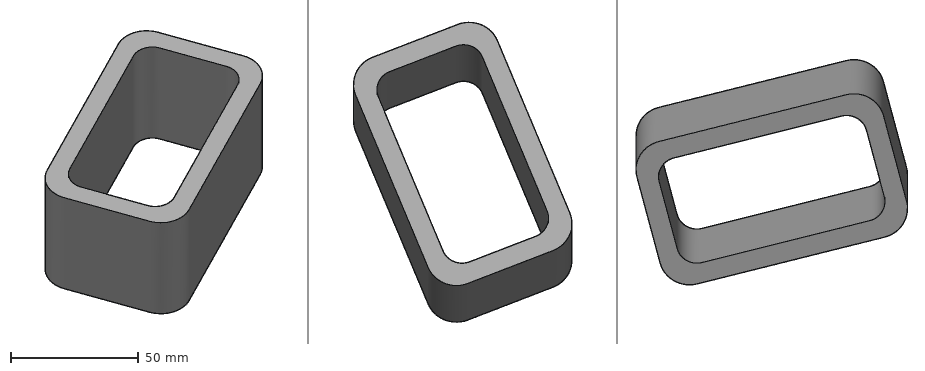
import cadquery as cq

width = 60.0
length = 100.0
height = 50.0
wall = 8.0
outer_radius = 12.0
inner_radius = 8.0


def rounded_block(size_x, size_y, corner_radius):
    """Upright block centred on Z, with its four vertical edges rounded."""
    block = cq.Workplane("XY").rect(size_x, size_y).extrude(height)
    return block.edges("|Z").fillet(corner_radius)


outer_body = rounded_block(width, length, outer_radius)
opening = rounded_block(width - 2 * wall, length - 2 * wall, inner_radius)
result = outer_body.cut(opening)